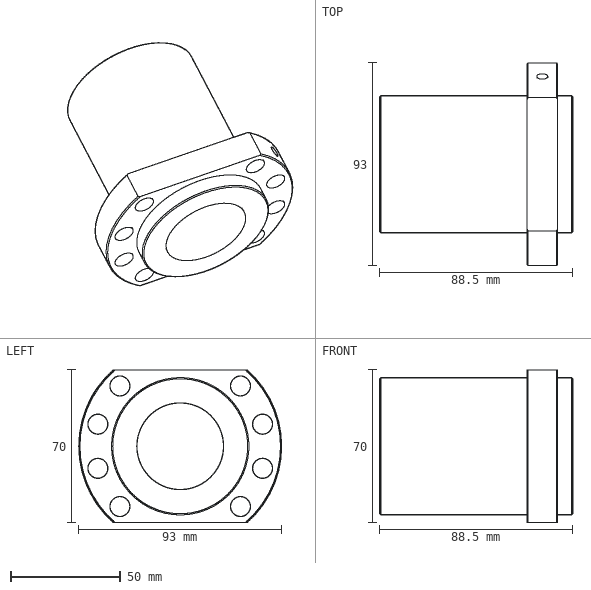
import cadquery as cq
import math

length = 88.5
body_diameter = 63.0
bore_diameter = 39.6
body_chamfer = 0.6

flange_diameter = 93.0
flange_start = 67.5
flange_width = 14.0
flange_height = 70.0
flange_chamfer = 0.6

mount_hole_diameter = 9.0
pitch_radius = 39.1
mount_angles = (15, 45)

oil_hole_diameter = 5.0
oil_angle = math.radians(sum(mount_angles) / len(mount_angles))


def x_cylinder(diameter, start, width):
    """Cylinder on the X axis, from start to start + width."""
    return cq.Workplane("YZ").workplane(offset=start).circle(diameter / 2).extrude(width)


def make_flange():
    disc = x_cylinder(flange_diameter, flange_start, flange_width)
    disc = disc.faces("<X or >X").chamfer(flange_chamfer)
    flats = cq.Workplane("XY").box(2 * length, flange_diameter, flange_height)
    return disc.intersect(flats)


def make_mount_holes():
    centers = []
    for angle in mount_angles:
        y = pitch_radius * math.cos(math.radians(angle))
        z = pitch_radius * math.sin(math.radians(angle))
        centers += [(y, z), (-y, z), (-y, -z), (y, -z)]
    return (
        cq.Workplane("YZ")
        .workplane(offset=flange_start)
        .pushPoints(centers)
        .circle(mount_hole_diameter / 2)
        .extrude(flange_width)
    )


def make_oil_hole():
    """Hole from the flange rim inward to the bore."""
    direction = cq.Vector(0, math.cos(oil_angle), math.sin(oil_angle))
    center = cq.Vector(flange_start + flange_width / 2, 0, 0)
    return cq.Solid.makeCylinder(oil_hole_diameter / 2, flange_diameter / 2, center, direction)


body = x_cylinder(body_diameter, 0, length).faces("<X or >X").chamfer(body_chamfer)
bore = x_cylinder(bore_diameter, 0, length)

result = body.union(make_flange()).cut(bore).cut(make_mount_holes()).cut(make_oil_hole())